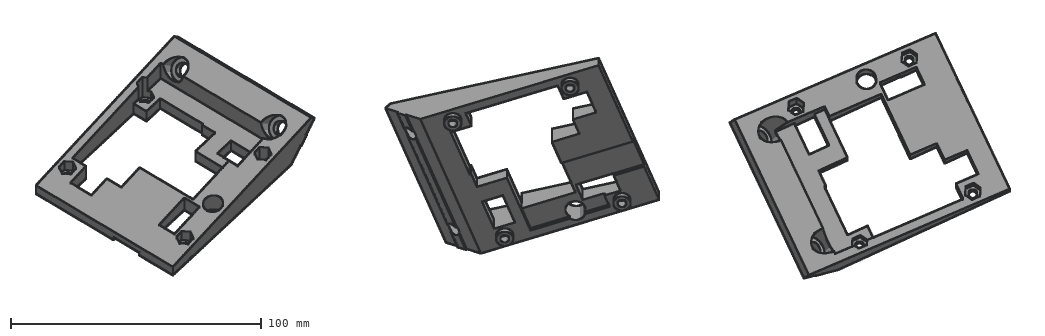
import cadquery as cq
import math

WIDTH = 70.0
LENGTH = 90.85
FRONT_HEIGHT = 5.1
BACK_HEIGHT = 17.1
OVERHANG = 14.9
OVERHANG_ANGLE = 45
TIP_HEIGHT = OVERHANG * math.tan(math.radians(OVERHANG_ANGLE))
TIP_CUT = BACK_HEIGHT - TIP_HEIGHT
BASE_LENGTH = LENGTH - OVERHANG

FOOT_DIAMETER = 6.9
FOOT_HEIGHT = 2.4
FOOT_EDGE_X = 5.0
FOOT_FRONT_Y = 14.0
FOOT_SPACING_Y = 50.0
SCREW_DIAMETER = 3.5
NUT_FLATS = 6.0
NUT_FLOOR_Z = 2.0

WINDOW_LEFT = 3.7
WINDOW_RIGHT = 56.05
WINDOW_STEP_X = 28.7
WINDOW_STEP_Y = 30.5
WINDOW_FRONT = 18.8
WINDOW_BACK = 75.3
TAB_LEFT = 10.6
TAB_RIGHT = 21.3
TAB_FRONT = 8.9

LEDGE_HEIGHT = 6.0
LEDGE_RIGHT = 60.5
LEDGE_FRONT_LEFT = 58.0
LEDGE_FRONT_RIGHT = 53.4
LEDGE_EDGE = 66.8
LEDGE_ARM_X = 10.3
LEDGE_JOG_X = 32.2
LEDGE_JOG = 0.6
LEDGE_PAD_X = 38.9
PORT_LEFT = 46.5

SLOT_LEFT = 52.7
SLOT_FRONT = 13.0
SLOT_BACK = 29.1
ROUND_HOLE_DIAMETER = 8.0
ROUND_HOLE_X = 64.0
ROUND_HOLE_Y = 33.4

RECESS_LEFT = 39.7
RECESS_RIGHT = WIDTH - WINDOW_LEFT
RECESS_FRONT = 19.8
RECESS_HEIGHT = 1.5

RAIL_WIDTH = 5.0
RAIL_HEIGHT = 0.5

MOUNT_EDGE_X = 10.1
MOUNT_SPACING = 50.0
MOUNT_HEIGHT = 7.8
MOUNT_DIAMETER = 5.9
COUNTERBORE_DIAMETER = 10.2
COUNTERBORE_FLOOR = 3.4


def block(left, right, front, back, bottom, top):
    """A box given by its six side positions."""
    return cq.Workplane("XY").box(right - left, back - front, top - bottom, centered=False).translate(
        (left, front, bottom)
    )


def wedge():
    side = [
        (0, 0),
        (BASE_LENGTH, 0),
        (LENGTH, TIP_HEIGHT),
        (LENGTH - TIP_CUT, BACK_HEIGHT),
        (0, FRONT_HEIGHT),
    ]
    return cq.Workplane("YZ").polyline(side).close().extrude(WIDTH)


def rail():
    """A full-width strip raised from the back face, on the line of the mounting holes."""
    return (
        cq.Workplane("XY")
        .box(WIDTH, RAIL_WIDTH, 2 * RAIL_HEIGHT, centered=(False, True, True))
        .rotate((0, 0, 0), (1, 0, 0), OVERHANG_ANGLE)
        .translate((0, BASE_LENGTH + MOUNT_HEIGHT, MOUNT_HEIGHT))
    )


def window():
    """The through window and the shallower space above the ledge."""
    through = [
        (WINDOW_LEFT, WINDOW_FRONT),
        (TAB_LEFT, WINDOW_FRONT),
        (TAB_LEFT, TAB_FRONT),
        (TAB_RIGHT, TAB_FRONT),
        (TAB_RIGHT, WINDOW_FRONT),
        (WINDOW_STEP_X, WINDOW_FRONT),
        (WINDOW_STEP_X, WINDOW_STEP_Y),
        (WINDOW_RIGHT, WINDOW_STEP_Y),
        (WINDOW_RIGHT, LEDGE_FRONT_RIGHT),
        (LEDGE_PAD_X, LEDGE_FRONT_RIGHT),
        (LEDGE_PAD_X, LEDGE_EDGE - LEDGE_JOG),
        (LEDGE_JOG_X, LEDGE_EDGE - LEDGE_JOG),
        (LEDGE_JOG_X, LEDGE_EDGE),
        (LEDGE_ARM_X, LEDGE_EDGE),
        (LEDGE_ARM_X, LEDGE_FRONT_LEFT),
        (WINDOW_LEFT, LEDGE_FRONT_LEFT),
    ]
    opening = cq.Workplane("XY").polyline(through).close().extrude(BACK_HEIGHT)
    port = block(PORT_LEFT, LEDGE_RIGHT, LEDGE_FRONT_LEFT, LEDGE_EDGE, 0, BACK_HEIGHT)
    above_ledge = block(
        WINDOW_LEFT, LEDGE_RIGHT, LEDGE_FRONT_RIGHT, WINDOW_BACK, LEDGE_HEIGHT, BACK_HEIGHT
    )
    return opening.union(port).union(above_ledge)


def border_openings():
    slot = block(SLOT_LEFT, LEDGE_RIGHT, SLOT_FRONT, SLOT_BACK, 0, BACK_HEIGHT)
    round_hole = (
        cq.Workplane("XY")
        .center(ROUND_HOLE_X, ROUND_HOLE_Y)
        .circle(ROUND_HOLE_DIAMETER / 2)
        .extrude(BACK_HEIGHT)
    )
    return slot.union(round_hole)


def underside_recess():
    """A shallow board recess beside the window, reached by a channel from the front edge."""
    board = block(RECESS_LEFT, RECESS_RIGHT, RECESS_FRONT, LEDGE_FRONT_RIGHT, 0, RECESS_HEIGHT)
    channel = block(RECESS_LEFT, SLOT_LEFT, 0, RECESS_FRONT, 0, RECESS_HEIGHT)
    return board.union(channel)


def mount_hole(x):
    """A through hole whose counterbore opens towards the front and top."""
    centre = cq.Vector(x, BASE_LENGTH + MOUNT_HEIGHT, MOUNT_HEIGHT)
    slope = math.radians(OVERHANG_ANGLE)
    inward = cq.Vector(0, -math.sin(slope), math.cos(slope))
    hole_start = centre - inward * (2 * RAIL_HEIGHT)
    hole = cq.Solid.makeCylinder(MOUNT_DIAMETER / 2, LENGTH, hole_start, inward)
    floor_centre = centre + inward * COUNTERBORE_FLOOR
    counterbore = cq.Solid.makeCylinder(COUNTERBORE_DIAMETER / 2, LENGTH, floor_centre, inward)
    return cq.Workplane(hole.fuse(counterbore))


def nut_pockets(centres):
    """Hexagonal pockets, open at the top, with a corner pointing along Y."""
    corner_radius = NUT_FLATS / 2 / math.cos(math.pi / 6)
    pocket = (
        cq.Workplane("XY")
        .polygon(6, 2 * corner_radius)
        .extrude(BACK_HEIGHT)
        .rotate((0, 0, 0), (0, 0, 1), 90)
    )
    pockets = cq.Workplane("XY")
    for x, y in centres:
        pockets = pockets.add(pocket.translate((x, y, NUT_FLOOR_Z)))
    return pockets.combine()


def round_posts(centres, diameter, bottom, top):
    """Upright cylinders, one at each centre."""
    base = cq.Workplane("XY", origin=(0, 0, bottom))
    return base.pushPoints(centres).circle(diameter / 2).extrude(top - bottom)


foot_centres = [
    (x, y)
    for x in (FOOT_EDGE_X, WIDTH - FOOT_EDGE_X)
    for y in (FOOT_FRONT_Y, FOOT_FRONT_Y + FOOT_SPACING_Y)
]

result = wedge().union(rail())
result = result.cut(window()).cut(border_openings()).cut(underside_recess())
for mount_x in (MOUNT_EDGE_X, MOUNT_EDGE_X + MOUNT_SPACING):
    result = result.cut(mount_hole(mount_x))
result = result.union(round_posts(foot_centres, FOOT_DIAMETER, -FOOT_HEIGHT, 0))
result = result.cut(round_posts(foot_centres, SCREW_DIAMETER, -FOOT_HEIGHT, BACK_HEIGHT))
result = result.cut(nut_pockets(foot_centres))